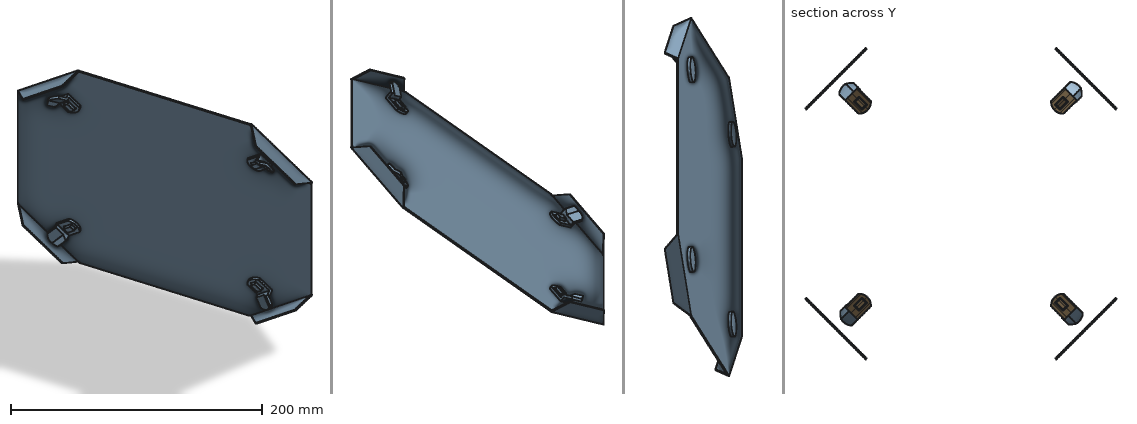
import cadquery as cq
import math

CORNER_ANGLES = [45, 135, 225, 315]

OUTER_HALF = 125.7
PLATE_HALF = 125.2
SHEET = 1.2
FLANGE_REACH = 141.0
FLANGE_HEIGHT = 12.8
FLANGE_HALF_LENGTH = OUTER_HALF * math.sqrt(2) - FLANGE_REACH
CORNER_CUT = FLANGE_REACH - SHEET

FASTENER_REACH = 112.8
WINDOW_LENGTH = 9.0
WINDOW_WIDTH = 5.8

BUTTON_RADIUS = 10.0
BUTTON_RIM = 2.5
BUTTON_BEVEL_HEIGHT = 0.8
BUTTON_BEVEL_WIDTH = 2.5
STEM_CLEARANCE = 0.5
STEM_LENGTH = WINDOW_LENGTH - 2 * STEM_CLEARANCE
STEM_WIDTH = WINDOW_WIDTH - 2 * STEM_CLEARANCE
STEM_TOP = 4.5

CLIP_SHEET = 2.3
CLIP_HALF_WIDTH = 7.0
CLIP_END_RADIUS = 10.0
BASE_INNER_END = 105.0
BASE_OUTER_END = 121.0
STEP_TOP = 5.5
TONGUE_SLOPE = 30
TONGUE_LENGTH = 12.0
WING_FOLD = 2.0
WING_ANGLE = 30
WING_WIDTH = 5.0
TONGUE_OVERRUN = 7.5


def stand_at_corner(body, angle):
    """Turn a flat-lying body to its corner and stand it upright."""
    return body.rotate((0, 0, 0), (0, 0, 1), angle).rotate((0, 0, 0), (1, 0, 0), 90)


def make_flange():
    """Upright strip on a cut corner, its ends running in at 45 degrees."""
    edge_half_length = FLANGE_HALF_LENGTH - FLANGE_HEIGHT
    return (
        cq.Workplane("YZ", origin=(CORNER_CUT, 0, -SHEET))
        .moveTo(-FLANGE_HALF_LENGTH, 0)
        .lineTo(FLANGE_HALF_LENGTH, 0)
        .lineTo(edge_half_length, FLANGE_HEIGHT)
        .lineTo(-edge_half_length, FLANGE_HEIGHT)
        .close()
        .extrude(SHEET)
    )


def make_stem(height):
    """Rectangular bar from the back of the plate up to a height above its front."""
    return (
        cq.Workplane("XY", origin=(FASTENER_REACH, 0, -SHEET))
        .rect(STEM_LENGTH, STEM_WIDTH)
        .extrude(SHEET + height)
    )


def make_plate():
    """Square sheet with cut corners, a flange on each cut and a slot for each stem."""
    corner_square = 2 * CORNER_CUT
    plate = cq.Workplane("XY", origin=(0, 0, -SHEET)).rect(2 * PLATE_HALF, 2 * PLATE_HALF).extrude(SHEET)
    octagon = (
        cq.Workplane("XY", origin=(0, 0, -SHEET))
        .rect(corner_square, corner_square)
        .extrude(SHEET)
        .rotate((0, 0, 0), (0, 0, 1), CORNER_ANGLES[0])
    )
    plate = plate.intersect(octagon)
    flange = make_flange()
    slot = make_stem(0)
    for angle in CORNER_ANGLES:
        plate = plate.union(flange.rotate((0, 0, 0), (0, 0, 1), angle))
        plate = plate.cut(slot.rotate((0, 0, 0), (0, 0, 1), angle))
    return plate.rotate((0, 0, 0), (1, 0, 0), 90)


def make_rivet():
    """Bevelled button against the back of the plate, with its stem."""
    axis = cq.Plane(origin=(FASTENER_REACH, 0, -SHEET), xDir=(1, 0, 0), normal=(0, 1, 0))
    button = (
        cq.Workplane(axis)
        .lineTo(BUTTON_RADIUS, 0)
        .lineTo(BUTTON_RADIUS, BUTTON_RIM)
        .lineTo(BUTTON_RADIUS - BUTTON_BEVEL_WIDTH, BUTTON_RIM + BUTTON_BEVEL_HEIGHT)
        .lineTo(0, BUTTON_RIM + BUTTON_BEVEL_HEIGHT)
        .close()
        .revolve(360, (0, 0, 0), (0, 1, 0))
    )
    return button.union(make_stem(STEM_TOP))


def make_clip_base():
    """Flat base with an arc at its inner end and the window through it."""
    arc_drop = CLIP_END_RADIUS - math.sqrt(CLIP_END_RADIUS**2 - CLIP_HALF_WIDTH**2)
    arc_start = BASE_INNER_END + arc_drop
    step_outside = BASE_OUTER_END + CLIP_SHEET
    return (
        cq.Workplane("XY")
        .moveTo(step_outside, -CLIP_HALF_WIDTH)
        .lineTo(step_outside, CLIP_HALF_WIDTH)
        .lineTo(arc_start, CLIP_HALF_WIDTH)
        .threePointArc((BASE_INNER_END, 0), (arc_start, -CLIP_HALF_WIDTH))
        .close()
        .extrude(CLIP_SHEET)
        .cut(
            cq.Workplane("XY", origin=(FASTENER_REACH, 0, 0))
            .rect(WINDOW_LENGTH, WINDOW_WIDTH)
            .extrude(CLIP_SHEET)
        )
    )


def make_clip_step():
    """Upright wall whose top follows the tongue's cross-section."""
    slope = math.radians(TONGUE_SLOPE)
    fold = math.radians(WING_ANGLE)
    wing_end = WING_FOLD + WING_WIDTH * math.cos(fold)
    wing_top = STEP_TOP + WING_WIDTH * math.sin(fold) / math.cos(slope)
    wing_underside = wing_top - CLIP_SHEET * math.cos(fold) / math.cos(slope)
    return (
        cq.Workplane("YZ", origin=(BASE_OUTER_END, 0, 0))
        .moveTo(-CLIP_HALF_WIDTH, 0)
        .lineTo(CLIP_HALF_WIDTH, 0)
        .lineTo(CLIP_HALF_WIDTH, wing_underside)
        .lineTo(wing_end, wing_top)
        .lineTo(WING_FOLD, STEP_TOP)
        .lineTo(-CLIP_HALF_WIDTH, STEP_TOP)
        .close()
        .extrude(CLIP_SHEET)
    )


def make_clip_tongue():
    """Inclined tongue, folded lengthwise, with an arc at its outer end."""
    slope = math.radians(TONGUE_SLOPE)
    fold = math.radians(WING_ANGLE)
    across, up = math.cos(fold), math.sin(fold)
    wing_end = WING_FOLD + WING_WIDTH * across
    wing_top = WING_WIDTH * up
    under_fold = WING_FOLD + CLIP_SHEET * math.tan(fold / 2)
    section = cq.Plane(
        origin=(BASE_OUTER_END, 0, STEP_TOP),
        xDir=(0, 1, 0),
        normal=(math.cos(slope), 0, math.sin(slope)),
    )
    strip = (
        cq.Workplane(section)
        .workplane(offset=-TONGUE_OVERRUN)
        .moveTo(-CLIP_HALF_WIDTH, 0)
        .lineTo(WING_FOLD, 0)
        .lineTo(wing_end, wing_top)
        .lineTo(wing_end + CLIP_SHEET * up, wing_top - CLIP_SHEET * across)
        .lineTo(under_fold, -CLIP_SHEET)
        .lineTo(-CLIP_HALF_WIDTH, -CLIP_SHEET)
        .close()
        .extrude(TONGUE_OVERRUN + TONGUE_LENGTH)
    )
    face = cq.Plane(
        origin=(BASE_OUTER_END, 0, STEP_TOP),
        xDir=(math.cos(slope), 0, math.sin(slope)),
        normal=(-math.sin(slope), 0, math.cos(slope)),
    )
    arc_centre = TONGUE_LENGTH - CLIP_END_RADIUS
    blank = (
        cq.Workplane(face)
        .moveTo(-TONGUE_OVERRUN, -CLIP_END_RADIUS)
        .lineTo(arc_centre, -CLIP_END_RADIUS)
        .threePointArc((TONGUE_LENGTH, 0), (arc_centre, CLIP_END_RADIUS))
        .lineTo(-TONGUE_OVERRUN, CLIP_END_RADIUS)
        .close()
        .extrude(CLIP_END_RADIUS, both=True)
    )
    reach = 2 * BASE_OUTER_END
    behind_step = cq.Workplane("XY").box(reach, reach, reach)
    return strip.intersect(blank).cut(behind_step)


def make_clip():
    """Base, step and tongue joined into one bent clip."""
    return make_clip_base().union(make_clip_step()).union(make_clip_tongue())


plate = make_plate()
rivets = [stand_at_corner(make_rivet(), angle) for angle in CORNER_ANGLES]
clips = [stand_at_corner(make_clip(), angle) for angle in CORNER_ANGLES]

result = cq.Compound.makeCompound([body.val() for body in [plate, *rivets, *clips]])